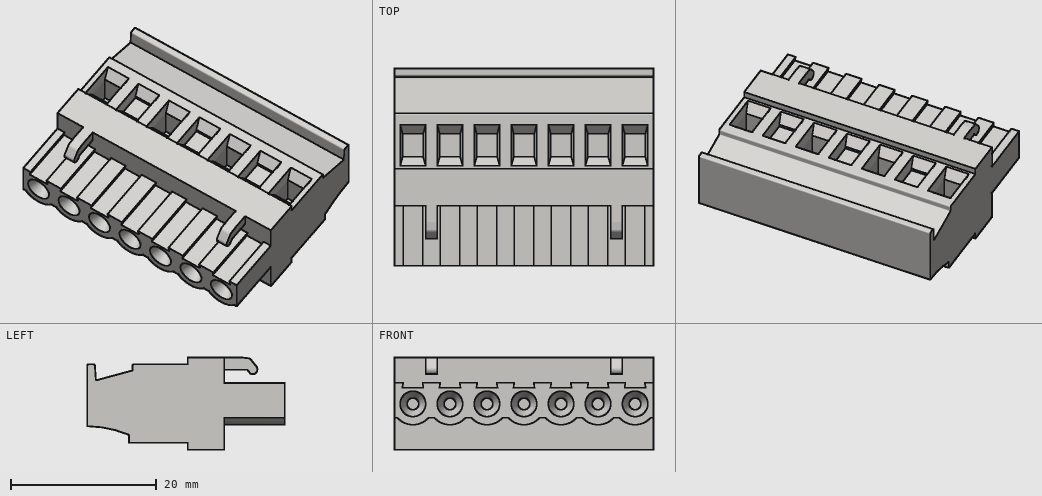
import cadquery as cq
import math


pole_count = 7
pitch = 5.08
width = pole_count * pitch
length = 27.1
height = 12.7

plug_length = 8.27
collar_length = 5.04
collar_step = 0.95
collar_back = plug_length + collar_length
deck_top = height - collar_step
deck_back = length - 6.2
deck_round = 0.2
ramp_top = 10.87
ramp_head_round = 0.12
ramp_bottom = 9.6
ramp_foot_width = 0.2
lip_thickness = 1.07
lip_foot_thickness = 1.2
lip_round = 0.25
lip_back_round = 0.19
belly_front = length - 5.7
belly_step_top = 2.06
belly_back_height = 3.23
belly_mid_offset = 2.6
belly_mid_height = 2.97

nose_top = 9.2
nose_web_bottom = 4.38
barrel_height = 6.3
barrel_radius = 2.86
groove_depth = 0.68
groove_top_width = 2.67
groove_floor_width = 2.9

hole_mouth_diameter = 3.5
hole_diameter = 1.6
hole_cone_depth = 2.0

pocket_width = 3.47
pocket_length = 5.6
pocket_back = length - 7.78
funnel_depth = 1.25
funnel_side_inset = 0.335
funnel_end_inset = 1.23
shallow_shaft_depth = 0.35
deep_shaft_depth = deck_top - funnel_depth - barrel_height

hook_width = 1.6
hook_thickness = 1.73
hook_tip_radius = 0.66
hook_tip_reach = 3.87
hook_tip_drop = 1.67
hook_crown_start = (2.27, 0)
hook_crown_end = (3.33, 0.13)
hook_shoulder_middle = (3.56, 0.25)
hook_shoulder_end = (3.73, 0.43)
hook_throat = (3.13, hook_thickness)
hook_tip_angles = (35, -40, -120)
hook_positions = (pitch, width - pitch)


def pole_x(index):
    return (index + 0.5) * pitch


def extrude_along_x(profile, start, distance):
    """Extrude a closed Y-Z profile in +X from the given X position."""
    return profile.extrude(distance).translate((start, 0, 0))


def make_body():
    """Collar and rear body, one profile across the full width."""
    profile = (
        cq.Workplane("YZ")
        .moveTo(plug_length, 0)
        .lineTo(collar_back, 0)
        .lineTo(collar_back, collar_step)
        .lineTo(belly_front, collar_step)
        .lineTo(belly_front, belly_step_top)
        .threePointArc((length - belly_mid_offset, belly_mid_height), (length, belly_back_height))
        .lineTo(length, deck_top - lip_back_round)
        .radiusArc((length - lip_back_round, deck_top), -lip_back_round)
        .lineTo(length - lip_thickness + lip_round, deck_top)
        .radiusArc((length - lip_thickness, deck_top - lip_round), -lip_round)
        .lineTo(length - lip_foot_thickness, ramp_bottom)
        .lineTo(length - lip_foot_thickness - ramp_foot_width, ramp_bottom)
        .lineTo(deck_back + ramp_head_round, ramp_top)
        .radiusArc((deck_back, ramp_top + ramp_head_round), ramp_head_round)
        .lineTo(deck_back, deck_top - deck_round)
        .radiusArc((deck_back - deck_round, deck_top), -deck_round)
        .lineTo(collar_back, deck_top)
        .lineTo(collar_back, height)
        .lineTo(plug_length, height)
        .close()
    )
    return extrude_along_x(profile, 0, width)


def make_nose():
    """Plug nose: a slab with a round barrel under each pole."""
    nose = cq.Workplane("XY").box(width, plug_length, nose_top - nose_web_bottom, centered=False)
    nose = nose.translate((0, 0, nose_web_bottom))
    for index in range(pole_count):
        barrel = (
            cq.Workplane("XZ")
            .center(pole_x(index), barrel_height)
            .circle(barrel_radius)
            .extrude(-plug_length)
        )
        nose = nose.union(barrel)
    envelope = cq.Workplane("XY").box(width, plug_length, nose_top, centered=False)
    return nose.intersect(envelope)


def make_groove(x):
    """Undercut groove along the top of the nose, wider at its floor."""
    return (
        cq.Workplane("XZ")
        .moveTo(x - groove_floor_width / 2, nose_top - groove_depth)
        .lineTo(x + groove_floor_width / 2, nose_top - groove_depth)
        .lineTo(x + groove_top_width / 2, nose_top)
        .lineTo(x - groove_top_width / 2, nose_top)
        .close()
        .extrude(-plug_length)
    )


def make_contact_hole(x):
    """Conical lead-in followed by a straight bore through the nose to the collar."""
    cone = cq.Solid.makeCone(
        hole_mouth_diameter / 2,
        hole_diameter / 2,
        hole_cone_depth,
        cq.Vector(x, 0, barrel_height),
        cq.Vector(0, 1, 0),
    )
    bore = cq.Solid.makeCylinder(
        hole_diameter / 2,
        plug_length,
        cq.Vector(x, 0, barrel_height),
        cq.Vector(0, 1, 0),
    )
    return cq.Workplane(obj=cone).union(cq.Workplane(obj=bore))


def make_pocket(x, shaft_depth):
    """Screw pocket: a rectangular funnel over a straight shaft."""
    shaft_width = pocket_width - 2 * funnel_side_inset
    shaft_length = pocket_length - 2 * funnel_end_inset
    top = cq.Workplane("XY").workplane(offset=deck_top).center(x, pocket_back - pocket_length / 2)
    funnel = (
        top.rect(pocket_width, pocket_length)
        .workplane(offset=-funnel_depth)
        .rect(shaft_width, shaft_length)
        .loft(ruled=True)
    )
    shaft = top.rect(shaft_width, shaft_length).extrude(-(funnel_depth + shaft_depth))
    return funnel.union(shaft)


def make_hook(x):
    """Latch hook reaching forward from the collar, flush with its top."""

    def outline_point(reach, drop):
        return (plug_length - reach, height - drop)

    def tip_point(degrees):
        angle = math.radians(degrees)
        reach = hook_tip_reach + hook_tip_radius * math.cos(angle)
        drop = hook_tip_drop - hook_tip_radius * math.sin(angle)
        return outline_point(reach, drop)

    tip_start, tip_middle, tip_end = [tip_point(degrees) for degrees in hook_tip_angles]

    profile = (
        cq.Workplane("YZ")
        .moveTo(plug_length, height)
        .lineTo(*outline_point(*hook_crown_start))
        .lineTo(*outline_point(*hook_crown_end))
        .threePointArc(outline_point(*hook_shoulder_middle), outline_point(*hook_shoulder_end))
        .lineTo(*tip_start)
        .threePointArc(tip_middle, tip_end)
        .lineTo(*outline_point(*hook_throat))
        .lineTo(plug_length, height - hook_thickness)
        .close()
    )
    return extrude_along_x(profile, x - hook_width / 2, hook_width)


result = make_body().union(make_nose())
for index in range(pole_count):
    x = pole_x(index)
    shaft_depth = shallow_shaft_depth if index % 2 else deep_shaft_depth
    result = result.cut(make_groove(x)).cut(make_contact_hole(x)).cut(make_pocket(x, shaft_depth))
for hook_x in hook_positions:
    result = result.union(make_hook(hook_x))